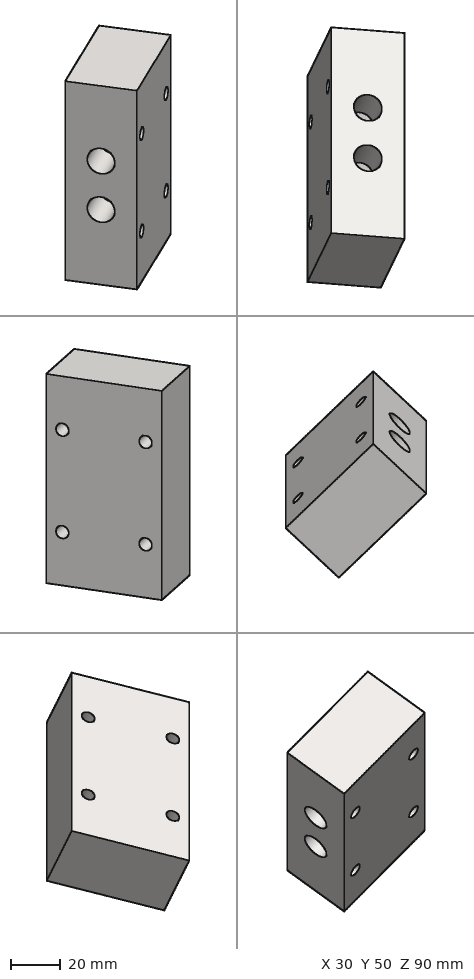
import cadquery as cq
import math

width = 30.0
depth = 50.0
height = 90.0

mount_diameter = 5.5
mount_spacing_y = 36.0
mount_spacing_z = 44.0

port_diameter = 11.4
port_depth = 18.0
port_spacing_z = 22.0
drill_point_angle = 118.0


def drill_point_height(radius):
    """Length of the conical tip of a drill of this radius."""
    return radius / math.tan(math.radians(drill_point_angle / 2))


def make_port_drill(z):
    """Drill-shaped cutter entering the -Y face at height z."""
    radius = port_diameter / 2
    tip_depth = port_depth + drill_point_height(radius)
    half_profile = (
        cq.Workplane("XY")
        .polyline([(0, 0), (radius, 0), (radius, port_depth), (0, tip_depth)])
        .close()
    )
    return half_profile.revolve(360, (0, 0), (0, 1)).translate((0, -depth / 2, z))


result = (
    cq.Workplane("XY").box(width, depth, height)
    .faces("<X").workplane(centerOption="CenterOfBoundBox")
    .rect(mount_spacing_y, mount_spacing_z, forConstruction=True)
    .vertices()
    .hole(mount_diameter)
)

for side in (-1, 1):
    result = result.cut(make_port_drill(side * port_spacing_z / 2))